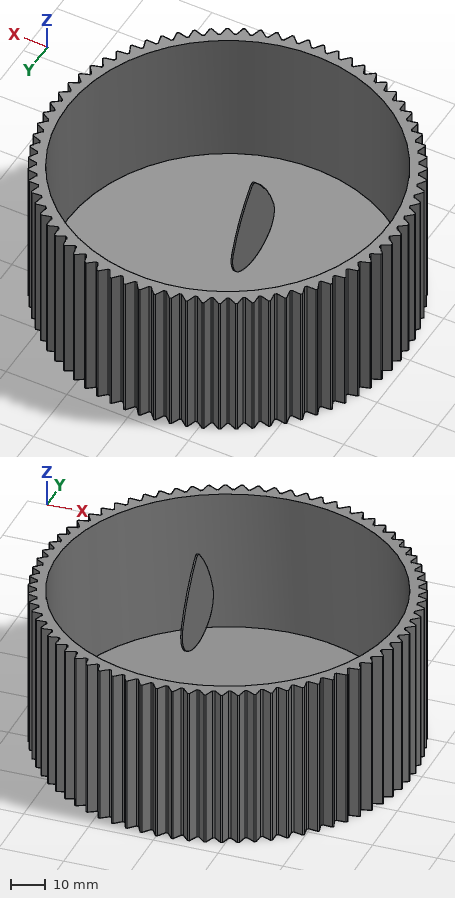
import cadquery as cq
import math

TIP_DIAMETER = 115.1
CUP_HEIGHT = 50.0
BORE_DIAMETER = 105.0
FLOOR_THICKNESS = 5.0

TOOTH_COUNT = 75
TOOTH_DEPTH = 2.4
TOOTH_TIP_WIDTH = 0.6
TOOTH_ROOT_WIDTH = 0.7
TOOTH_PITCH_ANGLE = 2 * math.pi / TOOTH_COUNT
FIRST_TOOTH_ANGLE = -math.pi / 2

PLATE_THICKNESS = 0.5
PLATE_CENTRE_X = -12.3
PLATE_CENTRE_Y = 7.5
PLATE_TOP = 54.9
PLATE_BOTTOM = 24.7
PLATE_WIDTH = 25.1
PLATE_TIP_RADIUS = 1.5
PLATE_SIDE_RADIUS = 46.0
PLATE_CORNER_RADIUS = 8.3
PLATE_CORNER_HEIGHT = 34.2


def polar(radius, angle):
    return (radius * math.cos(angle), radius * math.sin(angle))


def tooth_outline():
    """Closed outline of all the teeth: two tip points and two root points per tooth."""
    tip_radius = TIP_DIAMETER / 2
    root_radius = tip_radius - TOOTH_DEPTH
    tip_half_angle = TOOTH_TIP_WIDTH / 2 / tip_radius
    root_half_angle = TOOTH_ROOT_WIDTH / 2 / root_radius
    points = []
    for tooth in range(TOOTH_COUNT):
        tip_angle = FIRST_TOOTH_ANGLE + tooth * TOOTH_PITCH_ANGLE
        root_angle = tip_angle + TOOTH_PITCH_ANGLE / 2
        points += [
            polar(tip_radius, tip_angle - tip_half_angle),
            polar(tip_radius, tip_angle + tip_half_angle),
            polar(root_radius, root_angle - root_half_angle),
            polar(root_radius, root_angle + root_half_angle),
        ]
    return points


def make_cup():
    blank = cq.Workplane("XY").polyline(tooth_outline()).close().extrude(CUP_HEIGHT)
    bore = (
        cq.Workplane("XY", origin=(0, 0, FLOOR_THICKNESS))
        .circle(BORE_DIAMETER / 2)
        .extrude(CUP_HEIGHT - FLOOR_THICKNESS)
    )
    return blank.cut(bore)


def point_beyond(start, through, distance):
    """Point at a distance from start, along the ray from start through another point."""
    length = math.dist(start, through)
    return tuple(a + (b - a) * distance / length for a, b in zip(start, through))


def point_on_arc(centre, radius, first, last):
    """Middle point of the short arc between two points on a circle."""
    middle = tuple((a + b) / 2 for a, b in zip(first, last))
    return point_beyond(centre, middle, radius)


def mirrored(point):
    return (-point[0], point[1])


def make_plate():
    """Plate bounded by six tangent arcs: tip, two sides, two corners and bottom."""
    tip_centre = (0, PLATE_TOP - PLATE_TIP_RADIUS)
    corner_centre = (PLATE_WIDTH / 2 - PLATE_CORNER_RADIUS, PLATE_CORNER_HEIGHT)

    rise = PLATE_CORNER_HEIGHT - PLATE_BOTTOM
    excess_rise = rise - PLATE_CORNER_RADIUS
    bottom_radius = (corner_centre[0] ** 2 + rise**2 - PLATE_CORNER_RADIUS**2) / (2 * excess_rise)
    bottom_centre = (0, PLATE_BOTTOM + bottom_radius)

    span = math.dist(tip_centre, corner_centre)
    to_tip = PLATE_SIDE_RADIUS - PLATE_TIP_RADIUS
    to_corner = PLATE_SIDE_RADIUS - PLATE_CORNER_RADIUS
    along = (to_tip**2 - to_corner**2 + span**2) / (2 * span)
    across = math.sqrt(to_tip**2 - along**2)
    direction = tuple((b - a) / span for a, b in zip(tip_centre, corner_centre))
    side_centre = (
        tip_centre[0] + along * direction[0] + across * direction[1],
        tip_centre[1] + along * direction[1] - across * direction[0],
    )

    tip_end = point_beyond(side_centre, tip_centre, PLATE_SIDE_RADIUS)
    side_end = point_beyond(side_centre, corner_centre, PLATE_SIDE_RADIUS)
    corner_end = point_beyond(bottom_centre, corner_centre, bottom_radius)
    side_middle = point_on_arc(side_centre, PLATE_SIDE_RADIUS, tip_end, side_end)
    corner_middle = point_on_arc(corner_centre, PLATE_CORNER_RADIUS, side_end, corner_end)

    outline = (
        cq.Workplane("YZ", origin=(PLATE_CENTRE_X, PLATE_CENTRE_Y, 0))
        .moveTo(*mirrored(tip_end))
        .threePointArc((0, PLATE_TOP), tip_end)
        .threePointArc(side_middle, side_end)
        .threePointArc(corner_middle, corner_end)
        .threePointArc((0, PLATE_BOTTOM), mirrored(corner_end))
        .threePointArc(mirrored(corner_middle), mirrored(side_end))
        .threePointArc(mirrored(side_middle), mirrored(tip_end))
        .close()
    )
    return outline.extrude(PLATE_THICKNESS / 2, both=True)


cup = make_cup()
plate = make_plate()
result = cq.Compound.makeCompound([cup.val(), plate.val()])